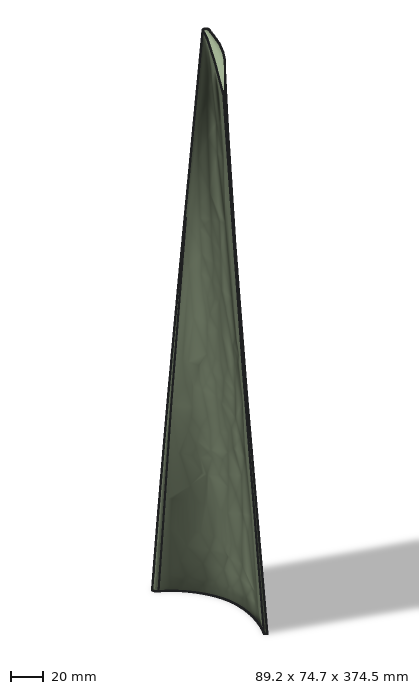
import cadquery as cq

blade_height = 374.5

root_pressure_face = [(5.2, 33.0), (15.5, 38.2), (27.0, 41.2), (45.7, 41.0), (66.7, 31.0), (87.5, 9.5)]
root_suction_face = [(0.5, 36.0), (13.5, 51.5), (30.0, 58.5), (47.2, 55.5), (65.2, 42.5), (89.5, 10.5)]
root_nose = (2.2, 32.2)

middle_pressure_face = [(10.5, 50.5), (19.5, 48.7), (29.0, 46.0), (43.5, 38.2), (58.5, 26.0), (75.3, 4.5)]
middle_suction_face = [(8.5, 54.5), (19.5, 59.5), (32.0, 59.2), (45.7, 50.0), (59.5, 33.5), (76.5, 5.2)]
middle_nose = (8.5, 51.5)

tip_pressure_face = [(17.2, 71.5), (25.0, 62.0), (31.0, 53.0), (41.2, 37.5), (51.0, 21.7), (64.5, 0.0)]
tip_suction_face = [(20.0, 74.5), (28.0, 66.5), (33.7, 60.5), (44.2, 45.5), (54.0, 25.5), (65.2, 0.5)]
tip_nose = (17.2, 73.5)


def section(pressure_face, nose, suction_face, height):
    """Closed blade profile: two splined faces, a round nose and a narrow flat trailing edge."""
    return (
        cq.Workplane("XY", origin=(0, 0, height))
        .moveTo(*pressure_face[0])
        .spline(pressure_face[1:], includeCurrent=True)
        .lineTo(*suction_face[-1])
        .spline(suction_face[-2::-1], includeCurrent=True)
        .threePointArc(nose, pressure_face[0])
        .close()
        .val()
    )


root = section(root_pressure_face, root_nose, root_suction_face, 0)
middle = section(middle_pressure_face, middle_nose, middle_suction_face, blade_height / 2)
tip = section(tip_pressure_face, tip_nose, tip_suction_face, blade_height)

result = cq.Workplane("XY").add(cq.Solid.makeLoft([root, middle, tip]))